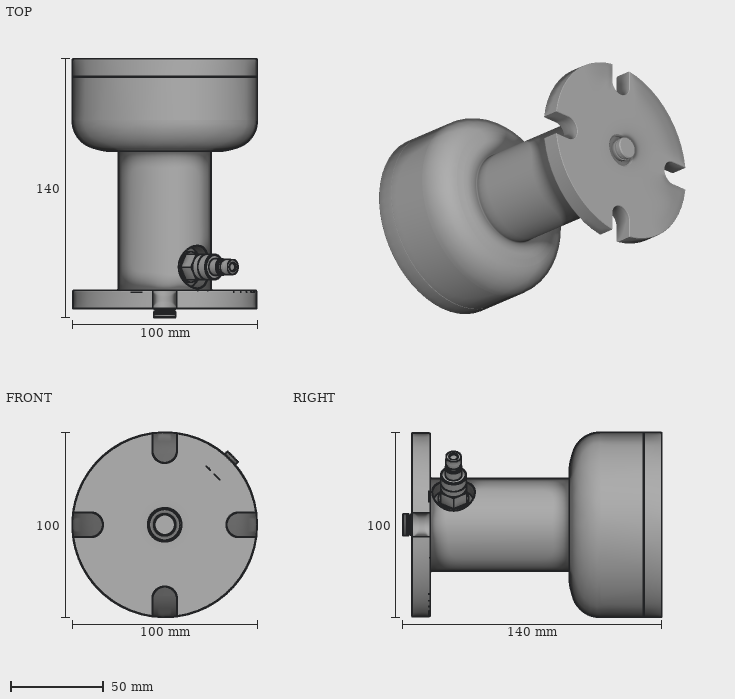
import cadquery as cq
import math


flange_radius = 50.0
flange_thickness = 10.0
flange_back_round = 1.0
flange_front_chamfer = 0.3
slot_count = 4
slot_width = 13.0
slot_center_radius = 40.0

seat_radius = 8.3
seat_rim_chamfer = 0.9
seat_depth = 1.5

stud_radius = 6.0
stud_neck_radius = 10.35 / 2
stud_length = 5.0
stud_head_length = 3.6
stud_land_radius = 11.5 / 2
stud_land_length = 0.5
stud_chamfer = 0.6
stud_groove_radius = 11.85 / 2
stud_groove_width = 0.4
stud_groove_middle = -2.8

tube_radius = 25.0
flange_root_round = 0.8
head_root_round = 0.7
body_length = 135.0
head_radius = 50.0
head_length = 50.0
head_straight_length = 33.25
head_round = 15.5
head_cone_angle = math.radians(15.0)
head_cone_inner_radius = 34.4
head_back_round = 1.0
lid_thickness = 10.0
lid_gap_width = 0.4
lid_gap_depth = 0.4

fitting_y = 22.5
fitting_angle = 45.0
pocket_radius = 11.4
pocket_floor = 16.1
pocket_rim_chamfer = 0.25
washer_radius = 8.2
washer_end = 20.2
hex_across_flats = 14.0
hex_end = 28.2
shank_radius = 13.8 / 2
shank_end = 32.2
collar_radius = 13.95 / 2
collar_end = 38.2
collar_chamfer = 0.6
barrel_radius = 9.0 / 2
barrel_end = 44.0
barrel_chamfer = 0.6
neck_radius = 6.6 / 2
bead_start = 46.6
bead_radius = 8.5 / 2
bead_end = 48.6
tip_start = 50.0
tip_radius = 8.1 / 2
fitting_end = 52.0
mouth_radius = 5.0 / 2
bore_radius = 4.1 / 2
bore_depth = 0.5

head_front = body_length - head_length


def make_slot():
    """Round-bottomed slot opening toward +X."""
    bottom = cq.Workplane("XZ").circle(slot_width / 2).extrude(-flange_thickness)
    opening = (
        cq.Workplane("XZ")
        .center(flange_radius / 2, 0)
        .rect(flange_radius, slot_width)
        .extrude(-flange_thickness)
    )
    return bottom.union(opening).translate((slot_center_radius, 0, 0))


def make_seat():
    """Round recess with a chamfered rim around the stud."""
    profile = (
        cq.Workplane("XY")
        .lineTo(seat_radius + seat_rim_chamfer, 0)
        .lineTo(seat_radius, seat_rim_chamfer)
        .lineTo(seat_radius, seat_depth)
        .lineTo(0, seat_depth)
        .close()
    )
    return profile.revolve(360, (0, 0, 0), (0, 1, 0))


def make_flange():
    disk = cq.Workplane("XZ").circle(flange_radius).extrude(-flange_thickness)
    disk = disk.faces(">Y").edges().fillet(flange_back_round)
    slot = make_slot()
    for index in range(slot_count):
        disk = disk.cut(slot.rotate((0, 0, 0), (0, 1, 0), index * 360.0 / slot_count))
    disk = disk.faces("<Y").edges().chamfer(flange_front_chamfer)
    return disk.cut(make_seat())


def make_body():
    """Tube and head as one turned profile, given as (radius, Y)."""
    round_center_radius = head_radius - head_round
    round_center_y = body_length - head_straight_length
    cone_start_radius = round_center_radius + head_round * math.sin(head_cone_angle)
    cone_start_y = round_center_y - head_round * math.cos(head_cone_angle)
    mid_angle = (math.pi / 2 + head_cone_angle) / 2
    round_mid = (
        round_center_radius + head_round * math.sin(mid_angle),
        round_center_y - head_round * math.cos(mid_angle),
    )
    cone_drop = (cone_start_radius - head_cone_inner_radius) * math.tan(head_cone_angle)
    cone_end_y = cone_start_y - cone_drop
    blend_radius = (cone_end_y - head_front) / (1 - math.cos(head_cone_angle))
    blend_inner_radius = head_cone_inner_radius - blend_radius * math.sin(head_cone_angle)
    blend_mid = (
        blend_inner_radius + blend_radius * math.sin(head_cone_angle / 2),
        head_front + blend_radius * (1 - math.cos(head_cone_angle / 2)),
    )
    corner_inset = 1 - math.sqrt(0.5)
    flange_root_inset = flange_root_round * corner_inset
    head_root_inset = head_root_round * corner_inset
    back_inset = head_back_round * corner_inset
    lid_front = body_length - lid_thickness
    profile = (
        cq.Workplane("XY")
        .moveTo(0, flange_thickness)
        .lineTo(tube_radius + flange_root_round, flange_thickness)
        .threePointArc(
            (tube_radius + flange_root_inset, flange_thickness + flange_root_inset),
            (tube_radius, flange_thickness + flange_root_round),
        )
        .lineTo(tube_radius, head_front - head_root_round)
        .threePointArc(
            (tube_radius + head_root_inset, head_front - head_root_inset),
            (tube_radius + head_root_round, head_front),
        )
        .lineTo(blend_inner_radius, head_front)
        .threePointArc(blend_mid, (head_cone_inner_radius, cone_end_y))
        .lineTo(cone_start_radius, cone_start_y)
        .threePointArc(round_mid, (head_radius, round_center_y))
        .lineTo(head_radius, lid_front)
        .lineTo(head_radius - lid_gap_depth, lid_front)
        .lineTo(head_radius - lid_gap_depth, lid_front + lid_gap_width)
        .lineTo(head_radius, lid_front + lid_gap_width)
        .lineTo(head_radius, body_length - head_back_round)
        .threePointArc(
            (head_radius - back_inset, body_length - back_inset),
            (head_radius - head_back_round, body_length),
        )
        .lineTo(0, body_length)
        .close()
    )
    body = profile.revolve(360, (0, 0, 0), (0, 1, 0)).cut(make_pocket())
    return body.edges("%BSPLINE").chamfer(pocket_rim_chamfer)


def make_stud():
    """Stud profile, given as (radius, Y), turned about the main axis."""
    head_start = stud_head_length - stud_length
    groove_start = stud_groove_middle + stud_groove_width / 2
    groove_end = stud_groove_middle - stud_groove_width / 2
    profile = (
        cq.Workplane("XY")
        .moveTo(0, seat_depth)
        .lineTo(stud_land_radius, seat_depth)
        .lineTo(stud_land_radius, -stud_land_length)
        .lineTo(stud_neck_radius, -stud_land_length)
        .lineTo(stud_neck_radius, head_start)
        .lineTo(stud_radius, head_start - stud_chamfer)
        .lineTo(stud_radius, groove_start)
        .lineTo(stud_groove_radius, groove_start)
        .lineTo(stud_groove_radius, groove_end)
        .lineTo(stud_radius, groove_end)
        .lineTo(stud_radius, stud_chamfer - stud_length)
        .lineTo(stud_radius - stud_chamfer, -stud_length)
        .lineTo(0, -stud_length)
        .close()
    )
    return profile.revolve(360, (0, 0, 0), (0, 1, 0))


def place_on_tube(shape):
    """Turn a shape built along +Z to the fitting direction and move it along the tube."""
    return shape.rotate((0, 0, 0), (0, 1, 0), fitting_angle).translate((0, fitting_y, 0))


def make_pocket():
    pocket = cq.Workplane("XY").workplane(offset=pocket_floor).circle(pocket_radius)
    return place_on_tube(pocket.extrude(tube_radius))


def make_fitting():
    hex_corner_diameter = hex_across_flats / math.cos(math.pi / 6)
    nut = (
        cq.Workplane("XY")
        .workplane(offset=pocket_floor)
        .polygon(6, hex_corner_diameter)
        .extrude(hex_end - pocket_floor)
    )
    profile = (
        cq.Workplane("XZ")
        .moveTo(0, pocket_floor)
        .lineTo(washer_radius, pocket_floor)
        .lineTo(washer_radius, washer_end)
        .lineTo(shank_radius, washer_end)
        .lineTo(shank_radius, shank_end)
        .lineTo(collar_radius, shank_end)
        .lineTo(collar_radius, collar_end - collar_chamfer)
        .lineTo(collar_radius - collar_chamfer, collar_end)
        .lineTo(barrel_radius, collar_end)
        .lineTo(barrel_radius, barrel_end - barrel_chamfer)
        .lineTo(barrel_radius - barrel_chamfer, barrel_end)
        .lineTo(neck_radius, barrel_end)
        .lineTo(neck_radius, bead_start)
        .lineTo(bead_radius, bead_start)
        .lineTo(bead_radius, bead_end)
        .lineTo(tip_radius, tip_start)
        .lineTo(tip_radius, fitting_end)
        .lineTo(mouth_radius, fitting_end)
        .lineTo(bore_radius, fitting_end - bore_depth)
        .lineTo(0, fitting_end - bore_depth)
        .close()
    )
    spigot = profile.revolve(360, (0, 0, 0), (0, 1, 0))
    return place_on_tube(nut.union(spigot))


result = make_flange().union(make_body()).union(make_fitting()).union(make_stud())